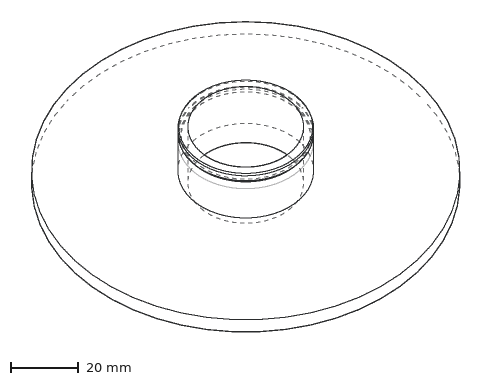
import cadquery as cq
import math

flange_diameter = 126.0
flange_thickness = 5.0

total_height = 23.0
neck_diameter = 40.0
bore_diameter = 34.0

groove_diameter = 38.0
lip_height = 3.0
lip_top_chamfer = 0.8
lip_top_inset = 0.3
lip_bottom_chamfer = 0.3
lip_bottom_inset = 0.1
groove_width = 1.1
shoulder_height = 1.9

flange_radius = flange_diameter / 2
neck_radius = neck_diameter / 2
bore_radius = bore_diameter / 2
groove_radius = groove_diameter / 2

groove_top = total_height - lip_height
groove_bottom = groove_top - groove_width
shoulder_bottom = groove_bottom - shoulder_height

groove_depth = neck_radius - groove_radius
shoulder_radius = (groove_depth**2 + shoulder_height**2) / (2 * groove_depth)
half_sweep = math.asin(shoulder_height / shoulder_radius) / 2
shoulder_middle = (
    neck_radius - shoulder_radius * (1 - math.cos(half_sweep)),
    shoulder_bottom + shoulder_radius * math.sin(half_sweep),
)

half_section = (
    cq.Workplane("XZ")
    .moveTo(bore_radius, 0)
    .lineTo(flange_radius, 0)
    .lineTo(flange_radius, flange_thickness)
    .lineTo(neck_radius, flange_thickness)
    .lineTo(neck_radius, shoulder_bottom)
    .threePointArc(shoulder_middle, (groove_radius, groove_bottom))
    .lineTo(groove_radius, groove_top)
    .lineTo(neck_radius - lip_bottom_inset, groove_top)
    .lineTo(neck_radius, groove_top + lip_bottom_chamfer)
    .lineTo(neck_radius, total_height - lip_top_chamfer)
    .lineTo(neck_radius - lip_top_inset, total_height)
    .lineTo(bore_radius, total_height)
    .close()
)

result = half_section.revolve(360, (0, 0, 0), (0, 1, 0))